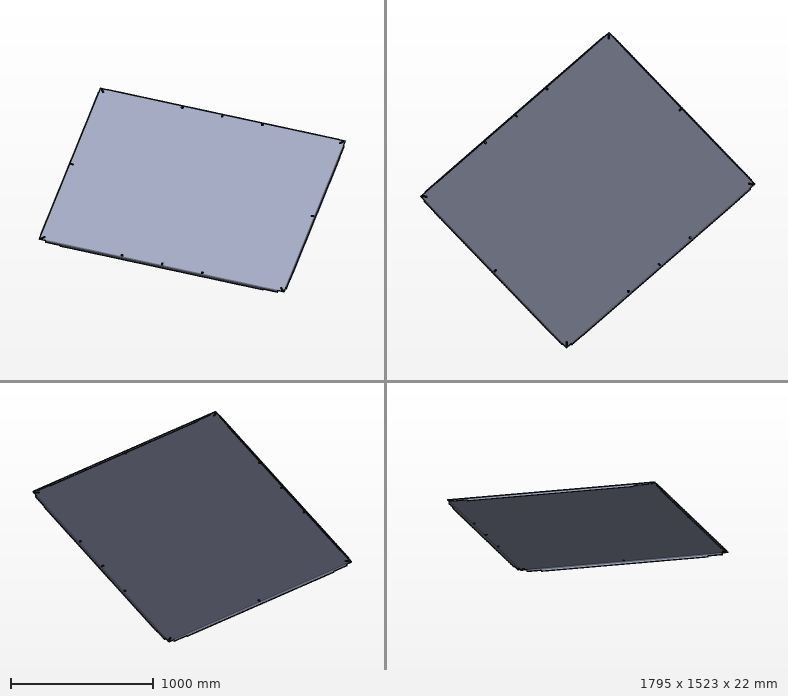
import cadquery as cq

LENGTH_X = 1795.0
WIDTH_Y = 1523.0
HEIGHT = 22.0
SHEET = 2.5
BEND_RADIUS = 5.0

FLANGE_GAP_X = 50.0
FLANGE_GAP_Y = 47.0
LIP_SETBACK = 106.0
SHALLOW_DEPTH = 15.0

TAB_INSET = 4.0

HOLE_DIAMETER = 13.0
HOLE_OFFSET_X = 293.0
EDGE_INSET = 20.0
SLOT_LENGTH = 18.0
SLOT_WIDTH = 7.0
CORNER_SLOT_LENGTH = 32.0
CORNER_SLOT_INSET = 25.0
CORNER_SLOT_ANGLE = 52.0

half_x = LENGTH_X / 2
half_y = WIDTH_Y / 2
flange_length_x = LENGTH_X - 2 * FLANGE_GAP_X
flange_length_y = WIDTH_Y - 2 * FLANGE_GAP_Y


def flange(reach, length):
    """Folded flange on the -Y side, its outer face at y = -reach and centred on x = 0."""
    inner_radius = BEND_RADIUS - SHEET
    bend_y = -reach + BEND_RADIUS
    section = (
        cq.Workplane("YZ", origin=(-length / 2, 0, 0))
        .moveTo(bend_y, 0)
        .radiusArc((-reach, -BEND_RADIUS), -BEND_RADIUS)
        .lineTo(-reach, -HEIGHT)
        .lineTo(-reach + SHEET, -HEIGHT)
        .lineTo(-reach + SHEET, -BEND_RADIUS)
        .radiusArc((bend_y, -SHEET), inner_radius)
        .close()
        .extrude(length)
    )
    half_length = length / 2
    half_lip = half_length - LIP_SETBACK
    outline = (
        cq.Workplane("XZ", origin=(0, bend_y, 0))
        .polyline([
            (-half_length, 0),
            (-half_length, -SHALLOW_DEPTH),
            (-half_lip, -SHALLOW_DEPTH),
            (-half_lip, -HEIGHT),
            (half_lip, -HEIGHT),
            (half_lip, -SHALLOW_DEPTH),
            (half_length, -SHALLOW_DEPTH),
            (half_length, 0),
        ])
        .close()
        .extrude(BEND_RADIUS)
    )
    return section.intersect(outline)


def slot(x, y, length, angle):
    """Cutter for a round-ended slot through the sheet."""
    return (
        cq.Workplane("XY", origin=(x, y, -SHEET))
        .transformed(rotate=(0, 0, angle))
        .slot2D(length, SLOT_WIDTH)
        .extrude(SHEET)
    )


def sheet_box(size_x, size_y):
    """Flat piece of sheet with its upper face at z = 0."""
    return cq.Workplane("XY", origin=(0, 0, -SHEET)).rect(size_x, size_y).extrude(SHEET)


flat_width = WIDTH_Y - 2 * BEND_RADIUS
corner_tabs = sheet_box(LENGTH_X - 2 * TAB_INSET, flat_width).cut(sheet_box(LENGTH_X, flange_length_y))
panel = sheet_box(LENGTH_X - 2 * BEND_RADIUS, flat_width).union(corner_tabs)

for turn in (0, 180):
    flange_y = flange(half_y, flange_length_x).rotate((0, 0, 0), (0, 0, 1), turn)
    flange_x = flange(half_x, flange_length_y).rotate((0, 0, 0), (0, 0, 1), turn + 90)
    panel = panel.union(flange_y).union(flange_x)

for side in (-1, 1):
    holes = (
        cq.Workplane("XY", origin=(0, side * (half_y - EDGE_INSET), -SHEET))
        .pushPoints([(-HOLE_OFFSET_X, 0), (HOLE_OFFSET_X, 0)])
        .circle(HOLE_DIAMETER / 2)
        .extrude(SHEET)
    )
    panel = panel.cut(holes)
    panel = panel.cut(slot(0, side * (half_y - EDGE_INSET), SLOT_LENGTH, 90))
    panel = panel.cut(slot(side * (half_x - EDGE_INSET), 0, SLOT_LENGTH, 0))
    for end in (-1, 1):
        corner_x = end * (half_x - CORNER_SLOT_INSET)
        corner_y = side * (half_y - CORNER_SLOT_INSET)
        panel = panel.cut(slot(corner_x, corner_y, CORNER_SLOT_LENGTH, side * end * CORNER_SLOT_ANGLE))

result = panel